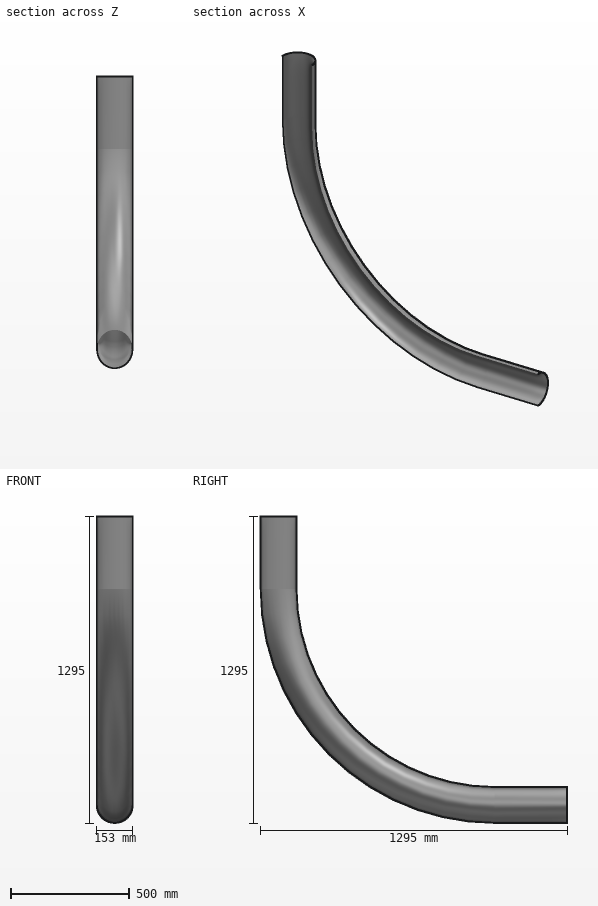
import cadquery as cq
import math

overall_size = 1295.0
outer_diameter = 153.0
inner_diameter = 149.0
straight_length = 306.0

bend_radius = overall_size - outer_diameter / 2 - straight_length


def bent_rod(diameter):
    """Solid rod: vertical leg, quarter bend, then a horizontal leg along +Y."""
    arc_offset = bend_radius * (1 - math.cos(math.radians(45)))
    path = (
        cq.Workplane("YZ")
        .moveTo(0, bend_radius + straight_length)
        .lineTo(0, bend_radius)
        .threePointArc((arc_offset, arc_offset), (bend_radius, 0))
        .lineTo(bend_radius + straight_length, 0)
    )
    profile = cq.Workplane("XY").workplane(offset=bend_radius + straight_length).circle(diameter / 2)
    return profile.sweep(path)


result = bent_rod(outer_diameter).cut(bent_rod(inner_diameter))